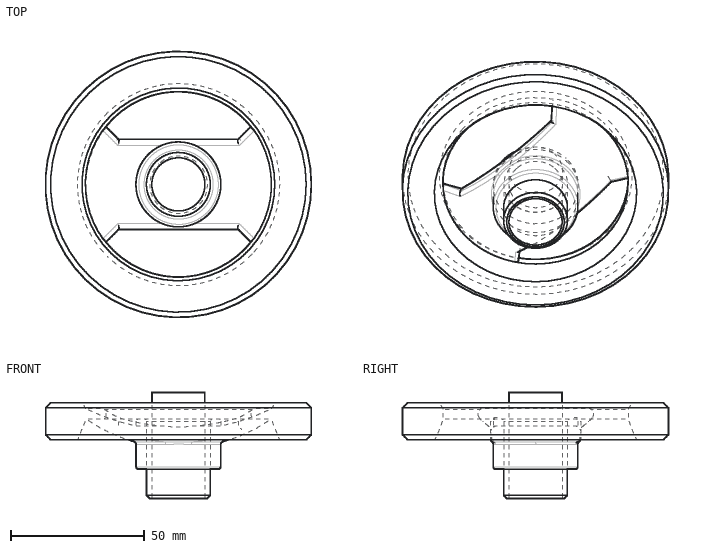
import cadquery as cq
import math


RIM_RADIUS = 50.0
RIM_HEIGHT = 14.0
RIM_CHAMFER = 2.0
RIM_TOP_INNER_RADIUS = 36.2
RIM_BOTTOM_INNER_RADIUS = 38.0
OPENING_RADIUS = 34.8
OPENING_TOP = RIM_HEIGHT - 2.4
OPENING_BOTTOM = RIM_HEIGHT - 6.1

WEB_TOP_SPHERE = 79.0
WEB_TOP_APEX = 3.7
WEB_BOTTOM_SPHERE = 61.0
WEB_BOTTOM_APEX = -3.0
WEB_RADIUS = OPENING_RADIUS + 0.4
SPOKE_HALF_WIDTH = 17.0
SPOKE_STRAIGHT_HALF_LENGTH = 22.5
SPOKE_TOP_FILLET = 2.0
SPOKE_BOTTOM_FILLET = 1.5

HUB_RADIUS = 31.9 / 2
HUB_TOP = RIM_HEIGHT - 6.0
HUB_BOTTOM = RIM_HEIGHT - 25.0
HUB_EDGE_FILLET = 1.0
HUB_WEB_FILLET = 1.0

SLEEVE_RADIUS = 12.0
SLEEVE_TOP = HUB_TOP - HUB_EDGE_FILLET
SLEEVE_BOTTOM = HUB_BOTTOM - 11.0
SLEEVE_CHAMFER = 1.2
CORE_RADIUS = 10.0
CORE_TOP = RIM_HEIGHT + 3.9

EDGE_TOLERANCE = 0.01


def cylinder(radius, bottom, top):
    return cq.Workplane("XY").workplane(offset=bottom).circle(radius).extrude(top - bottom)


def make_rim():
    profile = [
        (RIM_TOP_INNER_RADIUS, RIM_HEIGHT),
        (RIM_RADIUS - RIM_CHAMFER, RIM_HEIGHT),
        (RIM_RADIUS, RIM_HEIGHT - RIM_CHAMFER),
        (RIM_RADIUS, RIM_CHAMFER),
        (RIM_RADIUS - RIM_CHAMFER, 0),
        (RIM_BOTTOM_INNER_RADIUS, 0),
        (OPENING_RADIUS, OPENING_BOTTOM),
        (OPENING_RADIUS, OPENING_TOP),
    ]
    return cq.Workplane("XZ").polyline(profile).close().revolve(360, (0, 0), (0, 1))


def sphere_point(radius, apex, sphere_radius):
    """Point at a distance from the axis on a bowl-shaped sphere with its lowest point at apex."""
    return radius, apex + sphere_radius - math.sqrt(sphere_radius**2 - radius**2)


def make_dish():
    """Full disc between the two spheres."""
    half = WEB_RADIUS / 2
    return (
        cq.Workplane("XZ")
        .moveTo(0, WEB_BOTTOM_APEX)
        .threePointArc(
            sphere_point(half, WEB_BOTTOM_APEX, WEB_BOTTOM_SPHERE),
            sphere_point(WEB_RADIUS, WEB_BOTTOM_APEX, WEB_BOTTOM_SPHERE),
        )
        .lineTo(*sphere_point(WEB_RADIUS, WEB_TOP_APEX, WEB_TOP_SPHERE))
        .threePointArc(sphere_point(half, WEB_TOP_APEX, WEB_TOP_SPHERE), (0, WEB_TOP_APEX))
        .close()
        .revolve(360, (0, 0), (0, 1))
    )


def make_spoke_outline():
    """Prism with the outline of both spokes; past the straight stretch they widen at 45 degrees."""
    end = RIM_RADIUS
    end_half_width = SPOKE_HALF_WIDTH + end - SPOKE_STRAIGHT_HALF_LENGTH
    outline = [
        (SPOKE_STRAIGHT_HALF_LENGTH, SPOKE_HALF_WIDTH),
        (end, end_half_width),
        (end, -end_half_width),
        (SPOKE_STRAIGHT_HALF_LENGTH, -SPOKE_HALF_WIDTH),
    ]
    outline += [(-x, -y) for x, y in outline]
    return (
        cq.Workplane("XY")
        .workplane(offset=HUB_BOTTOM)
        .polyline(outline)
        .close()
        .extrude(RIM_HEIGHT - HUB_BOTTOM)
    )


def spoke_side_edges(web, end):
    """Edges between the spoke sides and the upper (">Z") or lower ("<Z") sphere."""
    edges = web.faces("%SPHERE").faces(end).edges().vals()
    return [edge for edge in edges if abs(edge.positionAt(0.5).y) > SPOKE_HALF_WIDTH - EDGE_TOLERANCE]


def make_web():
    web = make_dish().intersect(make_spoke_outline())
    top_edges = spoke_side_edges(web, ">Z")
    web = web.newObject(top_edges).fillet(SPOKE_TOP_FILLET)
    bottom_edges = spoke_side_edges(web, "<Z")
    return web.newObject(bottom_edges).fillet(SPOKE_BOTTOM_FILLET)


def hub_web_edges(body):
    """Edges where the underside of the web runs into the barrel of the hub."""
    edges = []
    for edge in body.edges().vals():
        middle = edge.positionAt(0.5)
        on_barrel = abs(math.hypot(middle.x, middle.y) - HUB_RADIUS) < EDGE_TOLERANCE
        if on_barrel and WEB_BOTTOM_APEX < middle.z < WEB_TOP_APEX:
            edges.append(edge)
    return edges


def make_hub():
    """Hub without its bore."""
    hub = cylinder(HUB_RADIUS, HUB_BOTTOM, HUB_TOP)
    return hub.edges().fillet(HUB_EDGE_FILLET)


def cut_bore(body):
    """Bore for the sleeve, with a rounded mouth that ends level with the top of the sleeve."""
    body = body.cut(cylinder(SLEEVE_RADIUS, HUB_BOTTOM, HUB_TOP))
    hub_top_face = body.faces(cq.selectors.NearestToPointSelector((0, 0, HUB_TOP)))
    mouth = hub_top_face.edges(cq.selectors.RadiusNthSelector(0))
    return mouth.fillet(HUB_EDGE_FILLET)


def make_wheel():
    body = make_web().union(make_hub())
    body = body.newObject(hub_web_edges(body)).fillet(HUB_WEB_FILLET)
    return cut_bore(body).union(make_rim())


def make_sleeve():
    sleeve = cylinder(SLEEVE_RADIUS, SLEEVE_BOTTOM, SLEEVE_TOP)
    sleeve = sleeve.faces("<Z").edges().chamfer(SLEEVE_CHAMFER)
    return sleeve.cut(cylinder(CORE_RADIUS, SLEEVE_BOTTOM, SLEEVE_TOP))


def make_core():
    return cylinder(CORE_RADIUS, SLEEVE_BOTTOM, CORE_TOP)


wheel = make_wheel()
sleeve = make_sleeve()
core = make_core()
result = cq.Compound.makeCompound([wheel.val(), sleeve.val(), core.val()])